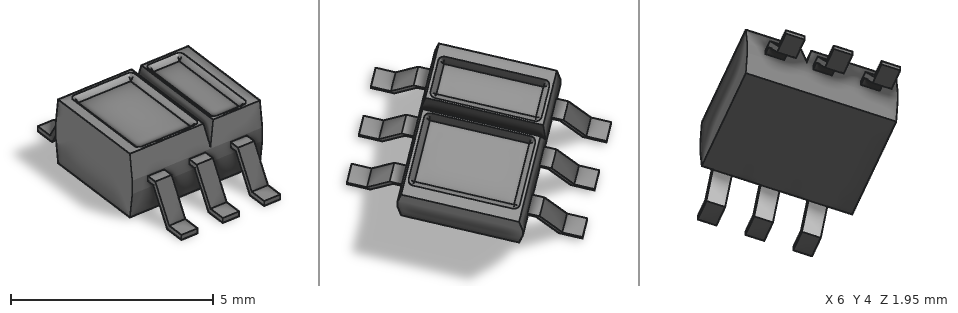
import cadquery as cq
import math

span_x = 6.0
body_length_y = 4.0
body_bottom_z = 0.05
body_top_z = 1.95

body_half_width = 1.6
taper_inset = 0.1
band_height = 0.4
body_mid_z = (body_bottom_z + body_top_z) / 2
band_bottom_z = body_mid_z - band_height / 2
band_top_z = body_mid_z + band_height / 2
end_half_width = body_half_width - taper_inset

groove_y = 0.41
groove_width = 0.3
groove_depth = 0.7

pocket_half_width = 1.415
pocket_wall_run = 0.15
pocket_depth = 0.15
pocket_outer_y = 1.705
large_pocket_inner_y = 0.21
small_pocket_inner_y = 0.61

lead_pitch = 1.27
leads_per_side = 3
lead_width = 0.5
lead_thickness = 0.15
lead_top_z = 1.15
lead_slope_angle = math.radians(30)
foot_length = 0.6
lead_embed = 0.2


def make_body():
    outline = [
        (-end_half_width, body_bottom_z),
        (end_half_width, body_bottom_z),
        (body_half_width, band_bottom_z),
        (body_half_width, band_top_z),
        (end_half_width, body_top_z),
        (-end_half_width, body_top_z),
        (-body_half_width, band_top_z),
        (-body_half_width, band_bottom_z),
    ]
    return cq.Workplane("XZ").polyline(outline).close().extrude(body_length_y / 2, both=True)


def make_groove():
    outline = [
        (groove_y - groove_width / 2, body_top_z),
        (groove_y, body_top_z - groove_depth),
        (groove_y + groove_width / 2, body_top_z),
    ]
    return cq.Workplane("YZ").polyline(outline).close().extrude(body_half_width, both=True)


def make_pocket(y_min, y_max):
    """Cutter that widens upward, its corners opening into quarter cones."""
    floor_x = 2 * (pocket_half_width - pocket_wall_run)
    floor_y = y_max - y_min - 2 * pocket_wall_run
    wall_angle = math.degrees(math.atan2(pocket_wall_run, pocket_depth))
    return (
        cq.Workplane("XY", origin=(0, (y_min + y_max) / 2, body_top_z - pocket_depth))
        .rect(floor_x, floor_y)
        .extrude(pocket_depth, taper=-wall_angle)
    )


def make_lead(y_center):
    """Lead on the +X side: foot, sloping leg and shoulder of equal thickness."""
    tip_x = span_x / 2
    root_x = body_half_width - lead_embed
    leg_run = (lead_top_z - lead_thickness) * math.tan(lead_slope_angle)
    bend_shift = lead_thickness * math.tan((math.pi / 2 - lead_slope_angle) / 2)
    bottom_x = tip_x - foot_length
    foot_top_x = bottom_x + bend_shift
    outline = [
        (tip_x, 0),
        (bottom_x, 0),
        (bottom_x - leg_run, lead_top_z - lead_thickness),
        (root_x, lead_top_z - lead_thickness),
        (root_x, lead_top_z),
        (foot_top_x - leg_run, lead_top_z),
        (foot_top_x, lead_thickness),
        (tip_x, lead_thickness),
    ]
    return (
        cq.Workplane("XZ", origin=(0, y_center, 0))
        .polyline(outline)
        .close()
        .extrude(lead_width / 2, both=True)
    )


result = make_body().cut(make_groove())
result = result.cut(make_pocket(-pocket_outer_y, large_pocket_inner_y))
result = result.cut(make_pocket(small_pocket_inner_y, pocket_outer_y))

for index in range(leads_per_side):
    lead = make_lead((index - (leads_per_side - 1) / 2) * lead_pitch)
    result = result.union(lead).union(lead.mirror("YZ"))